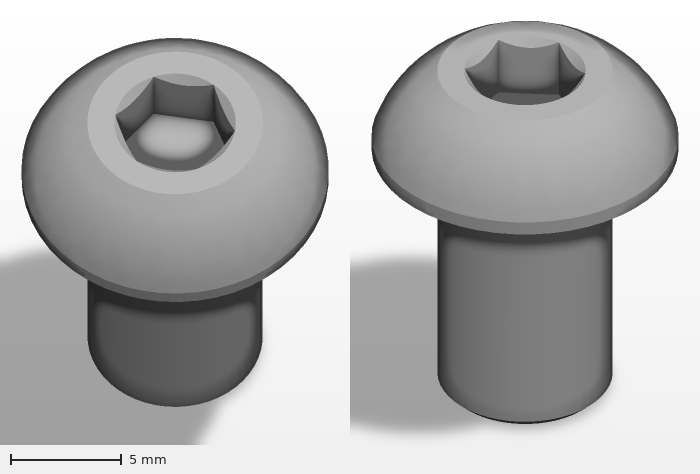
import cadquery as cq
import math

total_length = 16.92
head_diameter = 13.89
head_height = 4.21
rim_height = 0.66
crown_flat_diameter = 7.94
crown_bulge = 0.42
shank_diameter = 7.94
tip_chamfer = 0.4
socket_across_flats = 4.75
socket_depth = 2.88
countersink_angle = 45.0

shank_length = total_length - head_height
head_radius = head_diameter / 2
crown_flat_radius = crown_flat_diameter / 2
rim_top = shank_length + rim_height
socket_across_corners = socket_across_flats / math.cos(math.radians(30))


def make_shank():
    shank = cq.Workplane("XY").circle(shank_diameter / 2).extrude(shank_length)
    return shank.faces("<Z").chamfer(tip_chamfer)


def make_head():
    """Revolve a short cylindrical rim topped by a domed crown."""
    return (
        cq.Workplane("XZ")
        .moveTo(0, shank_length)
        .lineTo(head_radius, shank_length)
        .lineTo(head_radius, rim_top)
        .sagittaArc((crown_flat_radius, total_length), -crown_bulge)
        .lineTo(0, total_length)
        .close()
        .revolve(360, (0, 0, 0), (0, 1, 0))
    )


def make_socket():
    """Hexagonal recess with corners on the Y axis and a conical lead-in."""
    hexagon = (
        cq.Workplane("XY", origin=(0, 0, total_length))
        .transformed(rotate=(0, 0, 90))
        .polygon(6, socket_across_corners)
        .extrude(-socket_depth)
    )
    mouth_radius = socket_across_corners / 2
    cone_depth = mouth_radius * math.tan(math.radians(countersink_angle))
    lead_in = cq.Workplane("XY").add(
        cq.Solid.makeCone(
            mouth_radius, 0, cone_depth, pnt=cq.Vector(0, 0, total_length), dir=cq.Vector(0, 0, -1)
        )
    )
    return hexagon, lead_in


hexagon, lead_in = make_socket()
result = make_shank().union(make_head()).cut(hexagon).cut(lead_in)